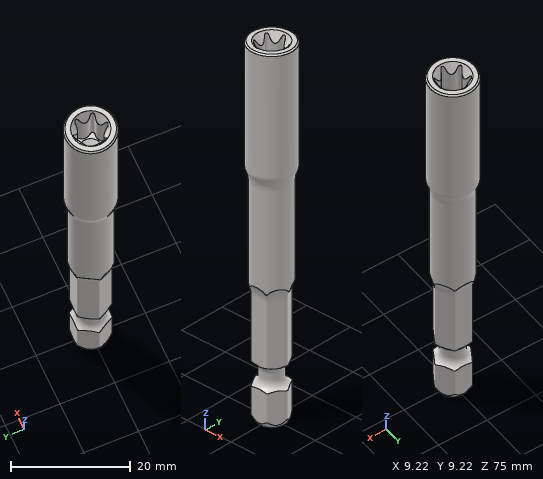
import cadquery as cq
import math

total_length = 75.0
head_radius = 4.61
head_bottom_z = 50.5
top_chamfer = 0.3
shank_radius = 4.0
shoulder_convex_radius = 2.0
shoulder_concave_radius = 5.0

hex_across_flats = 6.4
hex_edge_radius = 0.4
hex_corner_radius = (hex_across_flats / 2 - hex_edge_radius) / math.cos(math.pi / 6) + hex_edge_radius
hex_top_z = 25.2
flare_radius = 5.0
flare_height = 3.75
groove_middle_z = 9.6
groove_floor_length = 1.1
groove_floor_radius = 2.3
groove_side_radius = 2.0
end_radius = 2.85
end_taper_height = 1.4

lobe_count = 6
lobe_tip_distance = 3.15
lobe_tip_radius = 0.45
ridge_distance = 2.25
socket_depth = 7.5
countersink_radius = 3.4
countersink_depth = 1.95
drill_radius = 1.99
drill_half_angle = 59.0


def polar(distance, angle):
    """Point in the XY plane at an angle in degrees."""
    return (distance * math.cos(math.radians(angle)), distance * math.sin(math.radians(angle)))


def cone(base_radius, base_z, depth, tip_radius=0.0):
    """Cone about Z whose wide end is at base_z and which narrows downward."""
    return cq.Workplane("XY").add(
        cq.Solid.makeCone(base_radius, tip_radius, depth, cq.Vector(0, 0, base_z), cq.Vector(0, 0, -1))
    )


def make_round_body():
    """Revolved shank and head joined by a shoulder of two tangent arcs."""
    radius_sum = shoulder_convex_radius + shoulder_concave_radius
    sweep = math.acos(1 - (head_radius - shank_radius) / radius_sum)

    def convex_point(angle):
        return (
            head_radius - shoulder_convex_radius * (1 - math.cos(angle)),
            head_bottom_z - shoulder_convex_radius * math.sin(angle),
        )

    shoulder_bottom_z = head_bottom_z - radius_sum * math.sin(sweep)

    def concave_point(angle):
        return (
            shank_radius + shoulder_concave_radius * (1 - math.cos(angle)),
            shoulder_bottom_z + shoulder_concave_radius * math.sin(angle),
        )

    end_taper_slope = end_taper_height / (hex_corner_radius - end_radius)

    return (
        cq.Workplane("XZ")
        .lineTo(end_radius, 0)
        .lineTo(shank_radius, end_taper_slope * (shank_radius - end_radius))
        .lineTo(shank_radius, shoulder_bottom_z)
        .threePointArc(concave_point(sweep / 2), concave_point(sweep))
        .threePointArc(convex_point(sweep / 2), (head_radius, head_bottom_z))
        .lineTo(head_radius, total_length - top_chamfer)
        .lineTo(head_radius - top_chamfer, total_length)
        .lineTo(0, total_length)
        .close()
        .revolve(360, (0, 0, 0), (0, 1, 0))
    )


def make_flared_hex():
    """Hexagonal bar with rounded edges whose flats flare outward above hex_top_z."""
    half_flats = hex_across_flats / 2
    slab_width = 4 * shank_radius

    def flare_offset(height):
        return half_flats + flare_radius - math.sqrt(flare_radius**2 - height**2)

    middle_z = hex_top_z + flare_height / 2
    top_z = hex_top_z + flare_height
    middle_offset = flare_offset(flare_height / 2)
    top_offset = flare_offset(flare_height)
    slab = (
        cq.Workplane("YZ")
        .moveTo(-half_flats, 0)
        .lineTo(half_flats, 0)
        .lineTo(half_flats, hex_top_z)
        .threePointArc((middle_offset, middle_z), (top_offset, top_z))
        .lineTo(-top_offset, top_z)
        .threePointArc((-middle_offset, middle_z), (-half_flats, hex_top_z))
        .close()
        .extrude(slab_width / 2, both=True)
    )
    flared_hex = slab
    for angle in (60, 120):
        flared_hex = flared_hex.intersect(slab.rotate((0, 0, 0), (0, 0, 1), angle))
    return flared_hex.edges("|Z").fillet(hex_edge_radius)


def make_groove():
    """Ring cutter for the retaining groove: straight floor with a tangent arc on each side."""
    half_floor = groove_floor_length / 2
    half_width = half_floor + groove_side_radius
    rim_radius = groove_floor_radius + groove_side_radius
    arc_reach = groove_side_radius * math.sin(math.pi / 4)
    arc_middle_radius = rim_radius - arc_reach
    return (
        cq.Workplane("XZ")
        .moveTo(rim_radius, groove_middle_z - half_width)
        .threePointArc(
            (arc_middle_radius, groove_middle_z - half_floor - arc_reach),
            (groove_floor_radius, groove_middle_z - half_floor),
        )
        .lineTo(groove_floor_radius, groove_middle_z + half_floor)
        .threePointArc(
            (arc_middle_radius, groove_middle_z + half_floor + arc_reach),
            (rim_radius, groove_middle_z + half_width),
        )
        .close()
        .revolve(360, (0, 0, 0), (0, 1, 0))
    )


def make_socket():
    """Six-lobed recess with a conical lead-in and a conical drill point below its floor."""
    tip_center = lobe_tip_distance - lobe_tip_radius
    half_pitch = 180 / lobe_count
    cos_pitch = math.cos(math.radians(half_pitch))
    ridge_radius = (
        tip_center**2 + ridge_distance**2 - 2 * tip_center * ridge_distance * cos_pitch - lobe_tip_radius**2
    ) / (2 * (lobe_tip_radius + tip_center * cos_pitch - ridge_distance))
    ridge_center = ridge_distance + ridge_radius
    tip_share = lobe_tip_radius / (lobe_tip_radius + ridge_radius)
    ridge_x, ridge_y = polar(ridge_center, half_pitch)
    tangent_x = tip_center + tip_share * (ridge_x - tip_center)
    tangent_y = tip_share * ridge_y
    tangent_distance = math.hypot(tangent_x, tangent_y)
    tangent_angle = math.degrees(math.atan2(tangent_y, tangent_x))

    first_lobe_angle = 90
    pitch = 2 * half_pitch
    outline = cq.Workplane("XY", origin=(0, 0, total_length - socket_depth)).moveTo(
        *polar(tangent_distance, first_lobe_angle - tangent_angle)
    )
    for index in range(lobe_count):
        lobe_angle = first_lobe_angle + index * pitch
        outline = outline.threePointArc(
            polar(lobe_tip_distance, lobe_angle), polar(tangent_distance, lobe_angle + tangent_angle)
        ).threePointArc(
            polar(ridge_distance, lobe_angle + half_pitch),
            polar(tangent_distance, lobe_angle + pitch - tangent_angle),
        )
    recess = outline.close().extrude(socket_depth)

    lead_in = cone(countersink_radius, total_length, countersink_depth, ridge_distance)
    drill_depth = drill_radius / math.tan(math.radians(drill_half_angle))
    drill_point = cone(drill_radius, total_length - socket_depth, drill_depth)
    return recess.union(lead_in).union(drill_point)


flare_top = cq.Workplane("XY", origin=(0, 0, hex_top_z + flare_height))
round_zone = flare_top.circle(2 * head_radius).extrude(total_length)
envelope = make_flared_hex().union(round_zone)
result = make_round_body().intersect(envelope).cut(make_groove()).cut(make_socket())